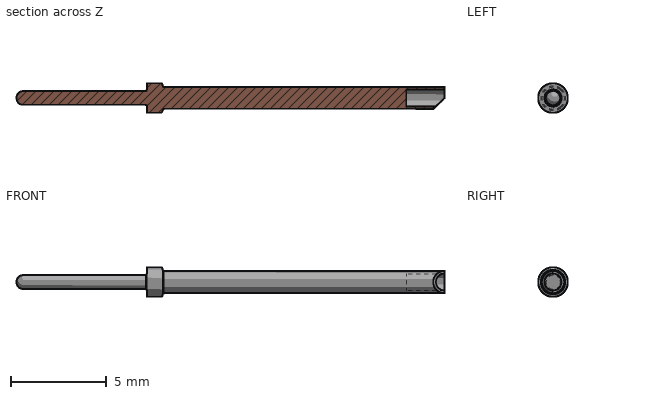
import cadquery as cq


plunger_diameter = 0.74
plunger_length = 6.8
tip_length = 0.34

plunger_foot_diameter = 0.9
plunger_foot_length = 0.05

collar_diameter = 1.56
collar_length = 0.83
collar_round = 0.12

barrel_foot_length = 0.06
barrel_foot_height = 0.06

overall_length = 22.32
barrel_diameter = 1.16
barrel_end = overall_length - plunger_length
cup_diameter = 0.88
cup_depth = 2.0
cup_cut_length = 0.6

plunger_radius = plunger_diameter / 2
plunger_foot_radius = plunger_foot_diameter / 2
collar_radius = collar_diameter / 2
barrel_radius = barrel_diameter / 2


def make_turned_body():
    """Half profile of plunger, collar and barrel, revolved about the X axis."""
    tip_radius = (plunger_radius**2 + tip_length**2) / (2 * tip_length)
    profile = (
        cq.Workplane("XY")
        .moveTo(-plunger_length, 0)
        .radiusArc((tip_length - plunger_length, plunger_radius), tip_radius)
        .lineTo(-plunger_foot_length, plunger_radius)
        .lineTo(0, plunger_foot_radius)
        .lineTo(0, collar_radius)
        .lineTo(collar_length - collar_round, collar_radius)
        .radiusArc((collar_length, collar_radius - collar_round), collar_round)
        .lineTo(collar_length, barrel_radius + barrel_foot_height)
        .lineTo(collar_length + barrel_foot_length, barrel_radius)
        .lineTo(barrel_end, barrel_radius)
        .lineTo(barrel_end, 0)
        .close()
    )
    return profile.revolve(360, (0, 0, 0), (1, 0, 0))


def make_cup_bore():
    """Blind bore drilled into the end of the barrel."""
    return (
        cq.Workplane("YZ", origin=(barrel_end - cup_depth, 0, 0))
        .circle(cup_diameter / 2)
        .extrude(cup_depth)
    )


def make_cup_opening():
    """Wedge that slants the -Y half of the barrel end."""
    return (
        cq.Workplane("XY")
        .moveTo(barrel_end, 0)
        .lineTo(barrel_end, -barrel_radius)
        .lineTo(barrel_end - cup_cut_length, -barrel_radius)
        .close()
        .extrude(barrel_radius, both=True)
    )


result = make_turned_body().cut(make_cup_bore()).cut(make_cup_opening())